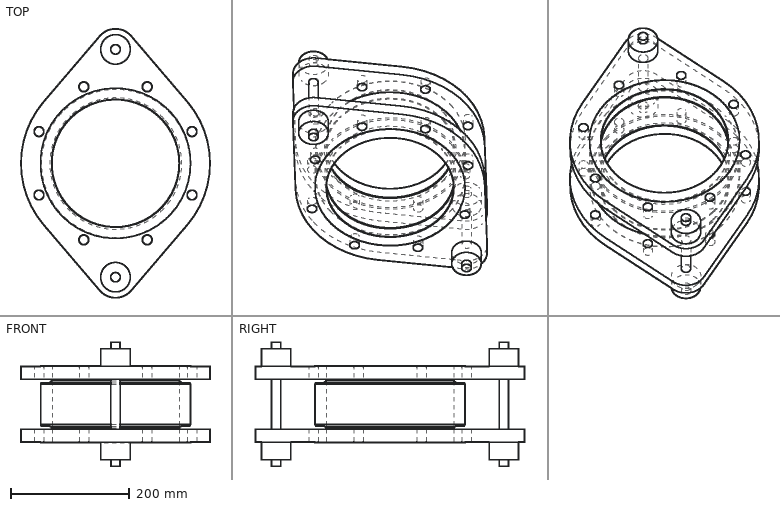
import cadquery as cq
import math

plate_inner_z = 42.0
plate_thickness = 22.0
plate_outer_z = plate_inner_z + plate_thickness
face_height = 1.0
nut_height = 30.0
rod_length = 210.0

plate_radius = 160.0
lug_radius = 35.0
lug_offset = 192.5

bolt_circle_radius = 140.0
bolt_count = 8
bolt_hole_diameter = 16.0

rod_diameter = 16.0
nut_diameter = 50.0

body_radius = 127.0
body_half_height = 36.7
body_chamfer_width = 1.5
body_chamfer_height = 2.7
neck_radius = 108.4
neck_base_radius = 111.4
neck_cone_height = 2.7
bore_radius = 107.5
bore_chamfer = 0.7


def flange_outline():
    """Closed outline of arcs joined by the lines tangent to both circles."""
    tangent_angle = math.asin((plate_radius - lug_radius) / lug_offset)
    side_x = plate_radius * math.cos(tangent_angle)
    side_y = plate_radius * math.sin(tangent_angle)
    lug_x = lug_radius * math.cos(tangent_angle)
    lug_y = lug_offset + lug_radius * math.sin(tangent_angle)
    lug_tip = lug_offset + lug_radius
    return (
        cq.Workplane("XY")
        .moveTo(side_x, -side_y)
        .threePointArc((plate_radius, 0), (side_x, side_y))
        .lineTo(lug_x, lug_y)
        .threePointArc((0, lug_tip), (-lug_x, lug_y))
        .lineTo(-side_x, side_y)
        .threePointArc((-plate_radius, 0), (-side_x, -side_y))
        .lineTo(-lug_x, -lug_y)
        .threePointArc((0, -lug_tip), (lug_x, -lug_y))
        .close()
    )


def cylinder(radius, bottom_z, height):
    return cq.Workplane("XY").workplane(offset=bottom_z).circle(radius).extrude(height)


def upper_flange():
    """Flange plate with bolt holes and a shallow raised sealing face."""
    plate = flange_outline().extrude(plate_thickness)
    bolt_holes = (
        cq.Workplane("XY")
        .polarArray(bolt_circle_radius, 180 / bolt_count, 360, bolt_count)
        .circle(bolt_hole_diameter / 2)
        .extrude(plate_thickness)
    )
    plate = plate.cut(bolt_holes).translate((0, 0, plate_inner_z))
    return plate.union(cylinder(body_radius, plate_outer_z, face_height))


def revolve_symmetric(upper_profile):
    """Revolve an (R, Z) profile and its mirror image below Z = 0 about the Z axis.

    The profile runs upward and ends on the axis.
    """
    lower_profile = [(radius, -z) for radius, z in reversed(upper_profile)]
    outline = cq.Workplane("XZ").polyline(lower_profile + upper_profile).close()
    return outline.revolve(360, (0, 0), (0, 1))


def bellows():
    """Chamfered body with a cone and a neck at each end, meeting the flanges."""
    return revolve_symmetric([
        (body_radius, body_half_height - body_chamfer_height),
        (body_radius - body_chamfer_width, body_half_height),
        (neck_base_radius, body_half_height),
        (neck_radius, body_half_height + neck_cone_height),
        (neck_radius, plate_inner_z),
        (0, plate_inner_z),
    ])


def bore():
    """Straight passage through flanges and bellows, with a small chamfer at each rim."""
    bore_end_z = plate_outer_z + face_height
    return revolve_symmetric([
        (bore_radius, bore_end_z - bore_chamfer),
        (bore_radius + bore_chamfer, bore_end_z),
        (0, bore_end_z),
    ])


def on_both_lugs(solid):
    """Copy a solid centred on the Z axis to the centre of each lug."""
    return solid.translate((0, lug_offset, 0)).union(solid.translate((0, -lug_offset, 0)))


def tie_rods():
    """Two full-length rods, one through each lug."""
    return on_both_lugs(cylinder(rod_diameter / 2, -rod_length / 2, rod_length))


def upper_nuts():
    """Round nuts seated on the outer face of the upper flange."""
    return on_both_lugs(cylinder(nut_diameter / 2, plate_outer_z, nut_height))


upper_parts = upper_flange().union(upper_nuts())
lower_parts = upper_parts.mirror("XY")
result = bellows().union(upper_parts).union(lower_parts).cut(bore()).union(tie_rods())